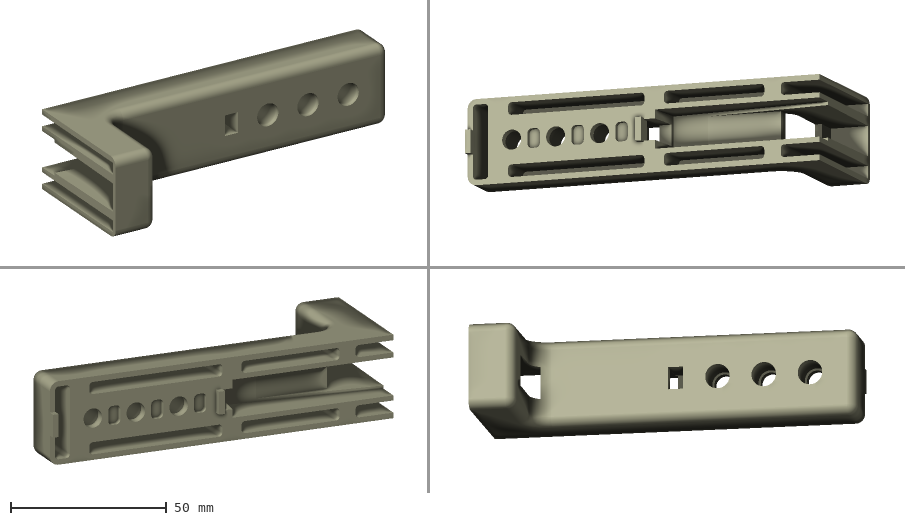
import cadquery as cq

LEG_LENGTH = 120.8
FOOT_LENGTH = 45.3
THICKNESS = 15.1
HEIGHT = 28.2
OUTER_RADIUS = 3.0
INNER_CORNER_RADIUS = 6.0
WALL = 1.8
POCKET_DEPTH = THICKNESS - WALL
POCKET_CORNER = 1.2

SIDE_POCKET_Z = 10.2
SIDE_POCKET_HEIGHT = 4.1
SIDE_POCKET_SPANS = ((60.2, 107.0), (19.0, 53.4))

END_POCKET_WIDTH = 5.2
END_POCKET_HEIGHT = HEIGHT - 2 * WALL

HOLE_COUNT = 3
HOLE_PITCH = 15.1
FIRST_HOLE_Y = 75.5
HOLE_DIAMETER = 6.5
HEAD_DIAMETER = 8.0
HOLE_LIP = 3.0
RECESS_OFFSET = 7.55
RECESS_WIDTH = 4.2
RECESS_HEIGHT = 6.4
RECESS_DEPTH = 1.8
RECESS_CORNER = 1.5

SEAT_HEIGHT = 12.8
SEAT_DEPTH_FRONT = 7.7
SEAT_SLOPE = 0.1
SEAT_END_Y = 56.5

CHANNEL_START_Y = 42.9
CHANNEL_FOOT_Y = 12.8
OPENING_END_X = 35.4
OPENING_END_Y = 17.9
CHANNEL_HALF_HEIGHT = 5.3
CHANNEL_END_HALF_HEIGHT = 5.0

HOOK_HEIGHT = 7.7
HOOK_LENGTH = 2.5
END_HOOK_THICKNESS = 1.9
MIDDLE_HOOK_Y = 60.3
MIDDLE_HOOK_THICKNESS = 2.2

HOOK_SLOT_HEIGHT = 7.0
HOOK_SLOT_DEPTH = 11.7
UNDERCUT_HEIGHT = 7.3
UNDERCUT_TOP_X = 2.9
UNDERCUT_START_Y = 59.5
UNDERCUT_LENGTH = 4.8


def plan_prism(points, height):
    """Extrude an XY outline symmetrically about Z = 0."""
    return cq.Workplane("XY").polyline(points).close().extrude(height / 2, both=True)


def face_box(y_start, y_end, height, depth, z=0):
    """Box from the leg face (X = 0) to X = depth, centred on the given Z."""
    centre = ((y_start + y_end) / 2, z)
    return cq.Workplane("YZ").center(*centre).rect(y_end - y_start, height).extrude(depth)


def face_pocket(y_start, y_end, height, depth, z=0, corner=POCKET_CORNER):
    """Box sunk into the leg face with its corners rounded in outline."""
    return face_box(y_start, y_end, height, depth, z).edges("|X").fillet(corner)


def make_body():
    """L-shaped block, rounded everywhere except around the leg face and the foot face."""
    leg = cq.Workplane("XY").box(THICKNESS, LEG_LENGTH, HEIGHT, centered=(False, False, True))
    foot = cq.Workplane("XY").box(FOOT_LENGTH, THICKNESS, HEIGHT, centered=(False, False, True))
    body = leg.union(foot).clean()
    corner = cq.selectors.NearestToPointSelector((THICKNESS, THICKNESS, 0))
    body = body.edges(corner).fillet(INNER_CORNER_RADIUS)
    return body.faces("not(|Z or <X or <Y)").edges("not(<X or <Y)").fillet(OUTER_RADIUS)


def cut_side_pockets(body):
    """Lightening pockets along the leg, plus those running along the foot and open at Y = 0."""
    for z in (-SIDE_POCKET_Z, SIDE_POCKET_Z):
        for y_start, y_end in SIDE_POCKET_SPANS:
            body = body.cut(face_pocket(y_start, y_end, SIDE_POCKET_HEIGHT, POCKET_DEPTH, z))
        foot_depth = FOOT_LENGTH - WALL
        body = body.cut(face_pocket(-THICKNESS, POCKET_DEPTH, SIDE_POCKET_HEIGHT, foot_depth, z))
    return body


def cut_end_pocket(body):
    """Pocket across the full height of the leg, one wall in from its free end."""
    y_end = LEG_LENGTH - WALL
    return body.cut(face_pocket(y_end - END_POCKET_WIDTH, y_end, END_POCKET_HEIGHT, POCKET_DEPTH))


def cut_screw_holes(body):
    """Through holes widened behind a lip for the screw heads, with a recess beside each."""
    for index in range(HOLE_COUNT):
        y = FIRST_HOLE_Y + index * HOLE_PITCH
        axis = cq.Workplane("YZ").center(y, 0)
        body = body.cut(axis.circle(HOLE_DIAMETER / 2).extrude(THICKNESS))
        head = axis.workplane(offset=HOLE_LIP).circle(HEAD_DIAMETER / 2)
        body = body.cut(head.extrude(THICKNESS - HOLE_LIP))
        recess_start = y - RECESS_OFFSET - RECESS_WIDTH / 2
        recess_end = recess_start + RECESS_WIDTH
        recess = face_pocket(recess_start, recess_end, RECESS_HEIGHT, RECESS_DEPTH, corner=RECESS_CORNER)
        body = body.cut(recess)
    return body


def seat_depth(y):
    """Depth of the sloping seat floor below the leg face."""
    return SEAT_DEPTH_FRONT + SEAT_SLOPE * y


def cut_seat(body):
    """Sloping seat whose end wall is square to its floor."""
    corner_y = (SEAT_END_Y - SEAT_SLOPE * SEAT_DEPTH_FRONT) / (1 + SEAT_SLOPE**2)
    outline = [(0, 0), (seat_depth(0), 0), (seat_depth(corner_y), corner_y), (0, SEAT_END_Y)]
    return body.cut(plan_prism(outline, SEAT_HEIGHT))


def cut_channel(body):
    """Channel opening through the inner corner and narrowing towards the end of the foot."""
    start_x = seat_depth(CHANNEL_START_Y)
    end_x = FOOT_LENGTH - WALL
    plan = [
        (0, 0),
        (end_x, 0),
        (end_x, CHANNEL_FOOT_Y),
        (OPENING_END_X, CHANNEL_FOOT_Y),
        (OPENING_END_X, OPENING_END_Y),
        (start_x, OPENING_END_Y),
        (start_x, CHANNEL_START_Y),
        (0, CHANNEL_START_Y),
    ]
    section = [
        (0, -CHANNEL_HALF_HEIGHT),
        (start_x, -CHANNEL_HALF_HEIGHT),
        (end_x, -CHANNEL_END_HALF_HEIGHT),
        (end_x, CHANNEL_END_HALF_HEIGHT),
        (start_x, CHANNEL_HALF_HEIGHT),
        (0, CHANNEL_HALF_HEIGHT),
    ]
    sides = cq.Workplane("XZ").polyline(section).close().extrude(-CHANNEL_START_Y)
    return body.cut(plan_prism(plan, HEIGHT).intersect(sides))


def cut_hook_slot(body):
    """Slot joining the seat to an undercut that leaves the middle hook overhanging."""
    slot = face_box(CHANNEL_START_Y, MIDDLE_HOOK_Y, HOOK_SLOT_HEIGHT, HOOK_SLOT_DEPTH)
    undercut_end = UNDERCUT_START_Y + UNDERCUT_LENGTH
    undercut = face_box(UNDERCUT_START_Y, undercut_end, UNDERCUT_HEIGHT, THICKNESS - UNDERCUT_TOP_X)
    return body.cut(slot).cut(undercut.translate((UNDERCUT_TOP_X, 0, 0)))


def add_hooks(body):
    """Hooks rising from the leg face at its free end and above the undercut."""
    end_hook = face_box(LEG_LENGTH - END_HOOK_THICKNESS, LEG_LENGTH, HOOK_HEIGHT, -HOOK_LENGTH)
    middle_end = MIDDLE_HOOK_Y + MIDDLE_HOOK_THICKNESS
    middle_hook = face_box(MIDDLE_HOOK_Y, middle_end, HOOK_HEIGHT, -HOOK_LENGTH)
    return body.union(end_hook).union(middle_hook)


body = make_body()
body = cut_side_pockets(body)
body = cut_end_pocket(body)
body = cut_screw_holes(body)
body = cut_seat(body)
body = cut_channel(body)
body = cut_hook_slot(body)
result = add_hooks(body)